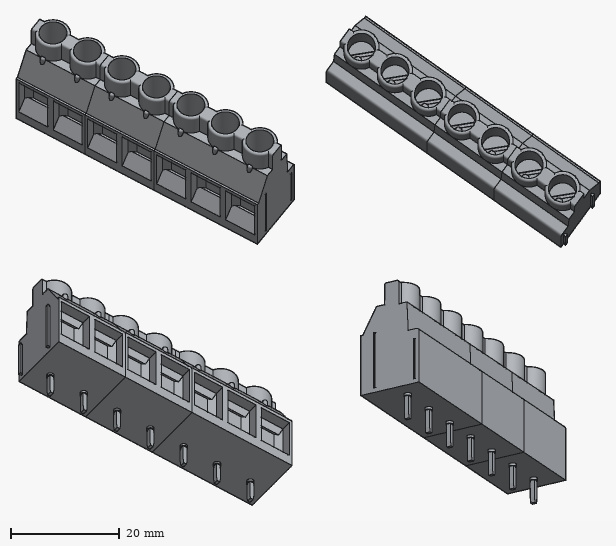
import cadquery as cq
import math


pitch = 7.62
module_poles = [2, 2, 3]

depth = 12.5
front_top = 12.05
front_ledge = 0.43
shoulder_front = 17.2
shoulder_back = 16.7
back_step_height = 10.9
back_step_y = 10.2
back_edge_radius = 0.5

tower_y = 6.65
tower_top = 21.5
tower_radius = 3.27
web_width = 3.05
tower_edge_radius = 0.4
well_radius = 2.57
well_depth = 8.0
well_floor = tower_top - well_depth
screw_slot_width = 0.65
screw_slot_depth = 0.6
screw_slot_angle = 45

nub_radius = 0.52
nub_offset = 0.1
nub_top = 17.8
nub_edge_radius = 0.4

entry_width = 6.4
entry_bottom = 2.4
entry_top = 11.2
entry_straight_depth = 2.0
entry_depth = 2.75
entry_back_width = 3.44
throat_bottom = 4.7
throat_top = 9.45
ceiling_slope_depth = 0.37

pin_y = tower_y + 1.2
pin_length = 5.0
pin_width = 0.92
pin_tip_width = 0.6
pin_tip_length = 0.95
pin_collar_radius = 0.7
pin_collar_height = 0.5
pin_head_rise = 0.2

rib_depth = 0.57
rib_outer_width = 0.72
rib_neck_width = 0.3
rib_bottom = 0.95
front_rib_y, front_rib_top = 2.94, 12.05
back_rib_y, back_rib_top = 11.5, 8.95


def pole_centres(poles):
    return [(i + 0.5) * pitch for i in range(poles)]


def base_block(length):
    """Housing below the towers, extruded along the row."""
    tower_front = tower_y - tower_radius
    tower_back = tower_y + tower_radius
    profile = [
        (0, 0),
        (depth, 0),
        (depth, back_step_height),
        (back_step_y, back_step_height),
        (tower_back, shoulder_back),
        (tower_y, shoulder_back),
        (tower_y, shoulder_front),
        (tower_front, shoulder_front),
        (front_ledge, front_top),
        (0, front_top),
    ]
    block = cq.Workplane("YZ").polyline(profile).close().extrude(length)
    rear_edge = cq.selectors.NearestToPointSelector((length / 2, depth, back_step_height))
    return block.edges(rear_edge).fillet(back_edge_radius)


def tower_row(length, centres):
    """Round screw towers and the web between them, with rounded top edges."""
    height = tower_top - well_floor
    row = (
        cq.Workplane("XY", origin=(length / 2, tower_y, well_floor))
        .rect(length, web_width)
        .extrude(height)
    )
    towers = (
        cq.Workplane("XY", origin=(0, tower_y, well_floor))
        .pushPoints([(x, 0) for x in centres])
        .circle(tower_radius)
        .extrude(height)
    )
    row = row.union(towers)
    return row.faces(">Z").edges("not |Y").fillet(tower_edge_radius)


def screw_well(x):
    """Round well with the slot of the screw head in its floor."""
    well = (
        cq.Workplane("XY", origin=(x, tower_y, well_floor))
        .circle(well_radius)
        .extrude(well_depth)
    )
    slot_bar = (
        cq.Workplane("XY")
        .rect(2 * tower_radius, screw_slot_width)
        .extrude(-screw_slot_depth)
        .rotate((0, 0, 0), (0, 0, 1), screw_slot_angle)
        .translate((x, tower_y, well_floor))
    )
    slot_limit = (
        cq.Workplane("XY", origin=(x, tower_y, well_floor))
        .circle(well_radius)
        .extrude(-screw_slot_depth)
    )
    return well.union(slot_bar.intersect(slot_limit))


def wire_entry(x):
    """Funnel whose walls, floor and ceiling close in towards the back."""
    half_front = entry_width / 2
    half_back = entry_back_width / 2
    plan = [
        (-half_front, 0),
        (half_front, 0),
        (half_front, entry_straight_depth),
        (half_back, entry_depth),
        (-half_back, entry_depth),
        (-half_front, entry_straight_depth),
    ]
    side = [
        (0, entry_bottom),
        (throat_bottom - entry_bottom, throat_bottom),
        (entry_depth, throat_bottom),
        (entry_depth, throat_top),
        (entry_straight_depth + ceiling_slope_depth, throat_top),
        (entry_straight_depth, entry_top),
        (0, entry_top),
    ]
    plan_prism = cq.Workplane("XY").polyline(plan).close().extrude(front_top)
    side_prism = cq.Workplane("YZ").polyline(side).close().extrude(half_front, both=True)
    return plan_prism.intersect(side_prism).translate((x, 0, 0))


def marker_nub(x):
    """Small round-topped post partly buried in the front of a tower."""
    nub = (
        cq.Workplane("XY", origin=(x, tower_y - tower_radius - nub_offset, front_top))
        .circle(nub_radius)
        .extrude(nub_top - front_top)
    )
    return nub.faces(">Z").edges().fillet(nub_edge_radius)


def solder_pin(x):
    """Square pin with a wedge tip, a collar under the housing and a round head in the well."""
    half = pin_width / 2
    half_tip = pin_tip_width / 2
    outline = [
        (-half, 0),
        (-half, -pin_length + pin_tip_length),
        (-half_tip, -pin_length),
        (half_tip, -pin_length),
        (half, -pin_length + pin_tip_length),
        (half, 0),
    ]
    blade = (
        cq.Workplane("XZ", origin=(x, pin_y, 0))
        .polyline(outline)
        .close()
        .extrude(half, both=True)
    )
    shank = (
        cq.Workplane("XY", origin=(x, pin_y, -pin_collar_height))
        .circle(pin_collar_radius)
        .extrude(pin_collar_height + well_floor + pin_head_rise)
    )
    return blade.union(shank)


def dovetail_ribs():
    """Two vertical dovetails that widen away from the face at X = 0."""
    ribs = cq.Workplane("XY")
    for rib_y, rib_top in [(front_rib_y, front_rib_top), (back_rib_y, back_rib_top)]:
        section = [
            (0, rib_y - rib_neck_width / 2),
            (-rib_depth, rib_y - rib_outer_width / 2),
            (-rib_depth, rib_y + rib_outer_width / 2),
            (0, rib_y + rib_neck_width / 2),
        ]
        rib = (
            cq.Workplane("XY", origin=(0, 0, rib_bottom))
            .polyline(section)
            .close()
            .extrude(rib_top - rib_bottom)
        )
        ribs = ribs.add(rib)
    return ribs.combine()


def terminal_module(poles):
    length = poles * pitch
    centres = pole_centres(poles)
    ribs = dovetail_ribs()
    body = base_block(length).union(tower_row(length, centres))
    for x in centres:
        body = body.union(marker_nub(x))
        body = body.cut(screw_well(x))
        body = body.cut(wire_entry(x))
        body = body.union(solder_pin(x))
    return body.union(ribs).cut(ribs.translate((length, 0, 0)))


modules = []
first_pole = 0
for poles in module_poles:
    module = terminal_module(poles).translate((first_pole * pitch, 0, 0))
    modules.append(module.val())
    first_pole += poles

result = cq.Compound.makeCompound(modules)